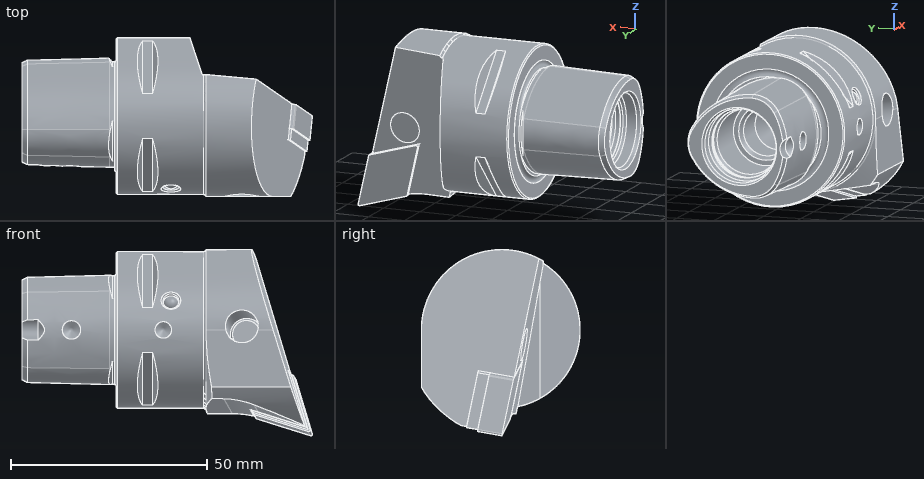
import cadquery as cq
import math


SHANK_LENGTH = 24.0
POLYGON_DIAMETER = 28.0
POLYGON_LOBE = 0.9
TAPER_PER_RADIUS = 1.0 / 40.0
TAPER_END_X = -1.67
END_CHAMFER_LENGTH = 1.4
END_CHAMFER_HEIGHT = 0.7
NECK_CONE_START_X = -2.15
NECK_CONE_LENGTH = 1.15

GROOVE_OUTER_RADIUS = 15.8
GROOVE_ARC_RADIUS = 1.2
NECK_RADIUS = 13.9
NECK_END_X = -0.45

BORE_MOUTH_RADIUS = 10.1
BORE_RADIUS = 9.6
BORE_MOUTH_CHAMFER = 1.0
BORE_DEPTH = 3.8
LAND_RADIUS = 8.93
LAND_LENGTH = 0.8
UNDERCUT_RADIUS = 9.2
UNDERCUT_END = 6.6
THREAD_RADIUS = 8.5
BORE_FLOOR_DEPTH = 20.0
DRILL_MOUTH_RADIUS = 7.1
DRILL_RADIUS = 6.15
DRILL_CHAMFER = 1.0
DRILL_DEPTH = 30.0
DRILL_POINT_ANGLE = 118.0

NOTCH_RADIUS = 3.1
NOTCH_LENGTH = 4.1
NOTCH_CENTRE_Y = -14.1
NOTCH_POINT_ANGLE = 90.0
CROSS_HOLE_X = -11.4
CROSS_HOLE_RADIUS = 2.35
CROSS_HOLE_FLOOR_Y = -10.8
COUNTERSINK_START_Y = -12.95
COUNTERSINK_END_Y = -14.5

FLANGE_RADIUS = 20.0
FLANGE_LENGTH = 22.2
FLANGE_CHAMFER = 0.35
FLANGE_CUT_X = 18.8
FLANGE_CUT_SLOPE = 1.0 / 3.0

SLOT_X = 8.0
SLOT_FLOOR_WIDTH = 2.5
SLOT_DEPTH = 2.4
SLOT_SIDE_ANGLE = 30.0
SLOT_ANGLES = (45, 135, 225, 315)

DIMPLE_X = 12.0
DIMPLE_RADIUS = 2.1
DIMPLE_DEPTH = 3.0

COOLANT_X = 13.95
COOLANT_ANGLE = 22.0
COOLANT_RADIUS = 2.0
COOLANT_CHAMFER = 0.5
COOLANT_BALL_DEPTH = 2.2

HEAD_RADIUS = 20.5
HEAD_FILLET_TURN = 73.0
FOOT_EDGE_Z = -14.6
FOOT_ARC_CENTRE_Y = 2.6
FOOT_ARC_CENTRE_Z = -0.8
FOOT_BOTTOM = 5.72
FOOT_BEND_RADIUS = 25.0
BIG = 80.0

TIP = cq.Vector(50.0, 0.0, -27.0)
RAKE_SLOPE_X = -0.1
RAKE_SLOPE_Z = 0.178
EDGE_ANGLE = 17.5
INSERT_EDGE = 15.5
INSERT_THICKNESS = 6.35
NOSE_RADIUS = 0.4
SHIM_THICKNESS = 3.0
SHIM_EDGE = 14.9
SHIM_INSET = 0.45
POCKET_CLEARANCE = 0.35
END_OVERHANG = 0.85
FOOT_OVERHANG = 0.55

SCREW_RADIUS = 4.15
SCREW_X = 32.0
SCREW_Z = 0.96
SCREW_RECESS = 11.5
SCREW_CHAMFER = 0.65


def polygon_section(x, mean_radius):
    """Three-lobed constant-width wire across the X axis, one lobe pointing to +Y.

    A tight arc rounds each lobe and a wide arc about the opposite lobe centre joins two lobes.
    """
    centre_distance = POLYGON_LOBE / (1 - math.cos(math.radians(30)))
    tight = mean_radius + POLYGON_LOBE - centre_distance
    wide = 2 * mean_radius - tight

    def arc_point(centre_angle, radius, angle):
        centre = math.radians(centre_angle)
        turn = math.radians(angle)
        return cq.Vector(
            x,
            centre_distance * math.cos(centre) + radius * math.cos(turn),
            centre_distance * math.sin(centre) + radius * math.sin(turn))

    def arc(centre_angle, radius, middle):
        ends = [arc_point(centre_angle, radius, middle + turn) for turn in (-30, 0, 30)]
        return cq.Edge.makeThreePointArc(*ends)

    edges = []
    for lobe in (0, 120, 240):
        edges.append(arc(lobe, tight, lobe))
        edges.append(arc(lobe + 240, wide, lobe + 60))
    return cq.Wire.assembleEdges(edges)


def revolve_about_x(profile):
    """Solid of revolution about X of a closed profile drawn as (x, radius)."""
    return profile.close().revolve(360, (0, 0, 0), (1, 0, 0))


def drill(point, direction, radius, depth, point_angle=DRILL_POINT_ANGLE):
    """Drill-shaped cutter with a full-radius length and a pointed end."""
    tip_length = radius / math.tan(math.radians(point_angle / 2))
    shaft = cq.Solid.makeCylinder(radius, depth, point, direction)
    cone = cq.Solid.makeCone(radius, 0, tip_length, point + direction * depth, direction)
    return cq.Workplane(shaft).union(cq.Workplane(cone))


def make_shank():
    chamfer_x = END_CHAMFER_LENGTH - SHANK_LENGTH
    root_x = NECK_END_X
    large = POLYGON_DIAMETER / 2 + TAPER_PER_RADIUS * TAPER_END_X
    small = POLYGON_DIAMETER / 2 + TAPER_PER_RADIUS * chamfer_x
    stations = [
        (-SHANK_LENGTH, small - END_CHAMFER_HEIGHT), (chamfer_x, small), (TAPER_END_X, large), (root_x, large)]
    sections = [polygon_section(x, radius) for x, radius in stations]
    shank = cq.Workplane(cq.Solid.makeLoft(sections, True))
    cone_top = NECK_RADIUS + NECK_CONE_LENGTH
    limit = revolve_about_x(
        cq.Workplane("XY").moveTo(-BIG, 0).lineTo(-BIG, BIG).lineTo(NECK_CONE_START_X, BIG)
        .lineTo(NECK_CONE_START_X, cone_top)
        .lineTo(NECK_CONE_START_X + NECK_CONE_LENGTH, NECK_RADIUS)
        .lineTo(root_x, NECK_RADIUS).lineTo(root_x, 0))
    return shank.intersect(limit)


def make_bore():
    cone_length = DRILL_RADIUS / math.tan(math.radians(DRILL_POINT_ANGLE / 2))
    end = -SHANK_LENGTH
    land_start = end + BORE_DEPTH + BORE_RADIUS - LAND_RADIUS
    return revolve_about_x(
        cq.Workplane("XY").moveTo(end, 0).lineTo(end, BORE_MOUTH_RADIUS)
        .lineTo(end + BORE_MOUTH_CHAMFER, BORE_RADIUS)
        .lineTo(end + BORE_DEPTH, BORE_RADIUS)
        .lineTo(land_start, LAND_RADIUS)
        .lineTo(land_start + LAND_LENGTH, LAND_RADIUS)
        .lineTo(land_start + LAND_LENGTH, UNDERCUT_RADIUS)
        .lineTo(end + UNDERCUT_END, UNDERCUT_RADIUS)
        .lineTo(end + UNDERCUT_END + UNDERCUT_RADIUS - THREAD_RADIUS, THREAD_RADIUS)
        .lineTo(end + BORE_FLOOR_DEPTH, THREAD_RADIUS)
        .lineTo(end + BORE_FLOOR_DEPTH, DRILL_MOUTH_RADIUS)
        .lineTo(end + BORE_FLOOR_DEPTH + DRILL_CHAMFER, DRILL_RADIUS)
        .lineTo(end + DRILL_DEPTH, DRILL_RADIUS)
        .lineTo(end + DRILL_DEPTH + cone_length, 0))


def make_flange():
    """Disc with a chamfered rim, whose face dips into a round groove beside the neck."""
    return revolve_about_x(
        cq.Workplane("XY").moveTo(NECK_END_X, 0).lineTo(NECK_END_X, NECK_RADIUS)
        .radiusArc((0, GROOVE_OUTER_RADIUS), -GROOVE_ARC_RADIUS)
        .lineTo(0, FLANGE_RADIUS - FLANGE_CHAMFER)
        .lineTo(FLANGE_CHAMFER, FLANGE_RADIUS)
        .lineTo(FLANGE_LENGTH, FLANGE_RADIUS).lineTo(FLANGE_LENGTH, 0))


def make_slots():
    half_floor = SLOT_FLOOR_WIDTH / 2
    rise = 2 * SLOT_DEPTH
    half_top = half_floor + rise * math.tan(math.radians(SLOT_SIDE_ANGLE))
    floor = FLANGE_RADIUS - SLOT_DEPTH
    slot = (
        cq.Workplane("XZ")
        .polyline([(SLOT_X - half_floor, floor), (SLOT_X + half_floor, floor),
                   (SLOT_X + half_top, floor + rise), (SLOT_X - half_top, floor + rise)])
        .close().extrude(FLANGE_RADIUS, both=True))
    return [slot.rotate((0, 0, 0), (1, 0, 0), angle) for angle in SLOT_ANGLES]


rake = cq.Plane(
    origin=TIP.toTuple(),
    xDir=(1, RAKE_SLOPE_X, 0),
    normal=(-RAKE_SLOPE_X, 1, -RAKE_SLOPE_Z))
edge_cos = math.cos(math.radians(EDGE_ANGLE))
edge_sin = math.sin(math.radians(EDGE_ANGLE))

corner = NOSE_RADIUS * (1 / (edge_cos - edge_sin) - 1)


def corner_point(end_inset, foot_inset):
    """Meeting point in the rake plane of lines inset from the leading and the trailing edge."""
    edge_distance = corner * (edge_cos - edge_sin)
    end_distance = edge_distance - end_inset
    foot_distance = edge_distance - foot_inset
    scale = edge_cos ** 2 - edge_sin ** 2
    return ((edge_cos * end_distance + edge_sin * foot_distance) / scale,
            (edge_sin * end_distance + edge_cos * foot_distance) / scale)


def rhombus(edge, inset, depth_from, depth_to):
    """Rhombic prism under the rake plane, its edges inset from the cutting edges."""
    x, y = corner_point(inset, inset)
    return (
        cq.Workplane(rake).workplane(offset=-depth_from)
        .polyline([(x, y), (x - edge * edge_sin, y - edge * edge_cos),
                   (x - edge * (edge_cos + edge_sin), y - edge * (edge_cos + edge_sin)),
                   (x - edge * edge_cos, y - edge * edge_sin)])
        .close().extrude(-(depth_to - depth_from)))


def make_head_outline():
    """Head section across X: round above, flat -Y side, and a round foot down to the tip side."""
    arc_radius = math.hypot(-HEAD_RADIUS - FOOT_ARC_CENTRE_Y, FOOT_EDGE_Z - FOOT_ARC_CENTRE_Z)
    foot_bottom = FOOT_ARC_CENTRE_Z - arc_radius
    middle = math.radians(240)
    arc_middle = (FOOT_ARC_CENTRE_Y + arc_radius * math.cos(middle),
                  FOOT_ARC_CENTRE_Z + arc_radius * math.sin(middle))
    return (
        cq.Workplane("YZ").moveTo(HEAD_RADIUS, 0)
        .threePointArc((0, HEAD_RADIUS), (-HEAD_RADIUS, 0))
        .lineTo(-HEAD_RADIUS, FOOT_EDGE_Z)
        .threePointArc(arc_middle, (FOOT_ARC_CENTRE_Y, foot_bottom))
        .lineTo(HEAD_RADIUS, foot_bottom).close().extrude(BIG))


def make_head_back():
    """Fillet from the flange followed by a steep cone, as the back limit of the head."""
    turn = math.radians(HEAD_FILLET_TURN)
    fillet = (HEAD_RADIUS - FLANGE_RADIUS) / (1 - math.cos(turn))
    cone_x = FLANGE_LENGTH + fillet * math.sin(turn)
    cone_end_x = cone_x + (BIG - HEAD_RADIUS) / math.tan(turn)
    half = turn / 2
    return revolve_about_x(
        cq.Workplane("XY").moveTo(FLANGE_LENGTH, 0).lineTo(FLANGE_LENGTH, FLANGE_RADIUS)
        .threePointArc((FLANGE_LENGTH + fillet * math.sin(half),
                        FLANGE_RADIUS + fillet * (1 - math.cos(half))), (cone_x, HEAD_RADIUS))
        .lineTo(cone_end_x, BIG).lineTo(2 * BIG, BIG).lineTo(2 * BIG, 0))


def make_head_limit():
    """Space behind the rake plane, inside the end face and above the bent foot bottom."""
    x, y = corner_point(END_OVERHANG, FOOT_OVERHANG)
    tangent = FOOT_BEND_RADIUS * math.tan(math.radians(EDGE_ANGLE) / 2)
    bend_x = x - (y + FOOT_BOTTOM) * edge_cos / edge_sin
    half = math.radians(EDGE_ANGLE) / 2
    start_x = bend_x - tangent
    arc_middle = (start_x + FOOT_BEND_RADIUS * math.sin(half),
                  -FOOT_BOTTOM + FOOT_BEND_RADIUS * (1 - math.cos(half)))
    arc_end = (bend_x + tangent * edge_cos, -FOOT_BOTTOM + tangent * edge_sin)
    return (
        cq.Workplane(rake).moveTo(-BIG, -FOOT_BOTTOM).lineTo(start_x, -FOOT_BOTTOM)
        .threePointArc(arc_middle, arc_end).lineTo(x, y)
        .lineTo(x - BIG * edge_sin, y - BIG * edge_cos).lineTo(-BIG, y - BIG * edge_cos)
        .close().extrude(-BIG))


def make_flange_cut():
    """Material taken off the +Y side beyond the sloping cut and above the rake plane."""
    top = FLANGE_RADIUS + 10
    beyond = (
        cq.Workplane("XY")
        .polyline([(FLANGE_CUT_X - (top - FLANGE_RADIUS) * FLANGE_CUT_SLOPE, top),
                   (FLANGE_CUT_X + (FLANGE_RADIUS + top) * FLANGE_CUT_SLOPE, -top),
                   (BIG, -top), (BIG, top)])
        .close().extrude(BIG, both=True))
    above_rake = cq.Workplane(rake).rect(4 * BIG, 4 * BIG).extrude(BIG)
    return beyond.intersect(above_rake)


rake_normal = rake.zDir
insert_bottom = INSERT_THICKNESS
shim_bottom = INSERT_THICKNESS + SHIM_THICKNESS

screw_mouth = cq.Vector(SCREW_X, -HEAD_RADIUS, SCREW_Z)
screw_end = screw_mouth + rake_normal * SCREW_RECESS
screw_length = -rake.toLocalCoords(screw_end).z


def make_screw_hole():
    start = screw_mouth - rake_normal * HEAD_RADIUS
    length = screw_length + SCREW_RECESS + 2 * HEAD_RADIUS
    return cq.Workplane(cq.Solid.makeCylinder(SCREW_RADIUS, length, start, rake_normal))


def make_clamp_screw():
    """Screw from its chamfered end at the bottom of the recess up to the rake plane."""
    body = cq.Workplane(cq.Solid.makeCylinder(SCREW_RADIUS, screw_length, screw_end, rake_normal))
    return body.faces(cq.selectors.DirectionMinMaxSelector(rake_normal, False)).chamfer(SCREW_CHAMFER)


coolant_direction = cq.Vector(
    0, -math.cos(math.radians(COOLANT_ANGLE)), math.sin(math.radians(COOLANT_ANGLE)))
ball_centre = cq.Vector(COOLANT_X, 0, 0) + coolant_direction * (FLANGE_RADIUS - COOLANT_BALL_DEPTH)


def make_coolant_hole():
    """Radial hole with a chamfered mouth and a flat floor that touches the sealing ball."""
    floor = ball_centre - coolant_direction * COOLANT_RADIUS
    depth = COOLANT_BALL_DEPTH + COOLANT_RADIUS
    hole = cq.Solid.makeCylinder(COOLANT_RADIUS, depth + 1, floor, coolant_direction)
    mouth_start = ball_centre + coolant_direction * (COOLANT_BALL_DEPTH - COOLANT_CHAMFER)
    mouth = cq.Solid.makeCone(
        COOLANT_RADIUS, COOLANT_RADIUS + 2 * COOLANT_CHAMFER, 2 * COOLANT_CHAMFER,
        mouth_start, coolant_direction)
    return cq.Workplane(hole).union(cq.Workplane(mouth))


def make_housing():
    head = make_head_outline().intersect(make_head_back()).intersect(make_head_limit())
    housing = make_flange().cut(make_flange_cut())
    housing = housing.union(make_shank()).union(head)
    housing = housing.cut(make_bore())
    for slot in make_slots():
        housing = housing.cut(slot)
    plus_x = cq.Vector(1, 0, 0)
    plus_y = cq.Vector(0, 1, 0)
    notch = drill(cq.Vector(-SHANK_LENGTH, NOTCH_CENTRE_Y, 0), plus_x, NOTCH_RADIUS, NOTCH_LENGTH,
                  NOTCH_POINT_ANGLE)
    cross_hole = drill(cq.Vector(CROSS_HOLE_X, -FLANGE_RADIUS, 0), plus_y, CROSS_HOLE_RADIUS,
                       FLANGE_RADIUS + CROSS_HOLE_FLOOR_Y)
    countersink_length = COUNTERSINK_START_Y - COUNTERSINK_END_Y
    countersink = cq.Workplane(cq.Solid.makeCone(
        CROSS_HOLE_RADIUS, CROSS_HOLE_RADIUS + countersink_length, countersink_length,
        cq.Vector(CROSS_HOLE_X, COUNTERSINK_START_Y, 0), -plus_y))
    dimple = drill(cq.Vector(DIMPLE_X, -FLANGE_RADIUS, 0), plus_y, DIMPLE_RADIUS, DIMPLE_DEPTH)
    pocket = rhombus(INSERT_EDGE + POCKET_CLEARANCE, 0, 0, shim_bottom)
    for cutter in (notch, cross_hole, countersink, dimple, pocket, make_coolant_hole(), make_screw_hole()):
        housing = housing.cut(cutter)
    return housing


def make_insert():
    blank = rhombus(INSERT_EDGE, 0, 0, insert_bottom)
    return blank.edges(cq.selectors.ParallelDirSelector(rake_normal)).fillet(NOSE_RADIUS)


def make_shim():
    return rhombus(SHIM_EDGE, SHIM_INSET, insert_bottom, shim_bottom)


def make_sealing_ball():
    return cq.Workplane("XY").sphere(COOLANT_RADIUS).translate(ball_centre)


housing = make_housing()
insert = make_insert()
shim = make_shim()
clamp_screw = make_clamp_screw()
sealing_ball = make_sealing_ball()

bodies = (housing, insert, shim, clamp_screw, sealing_ball)
result = cq.Compound.makeCompound([body.solids().val() for body in bodies])